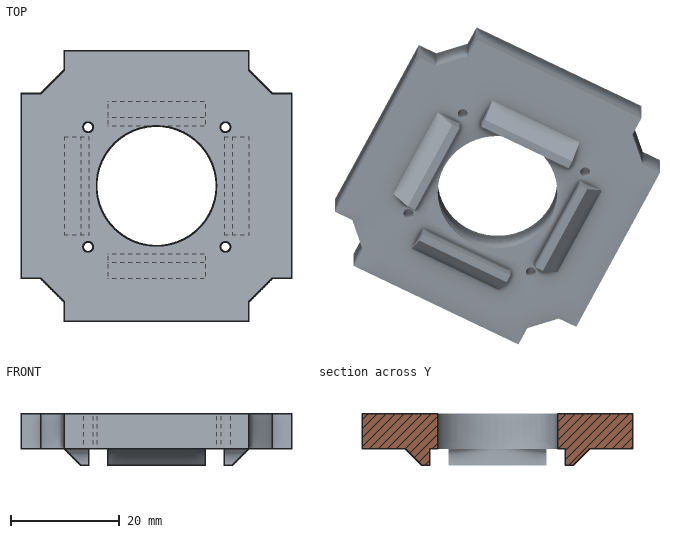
import cadquery as cq

plate_size = 49.8
plate_thickness = 6.5
edge_length = 34.0
notch_wall = 3.6

bore_diameter = 22.0
screw_hole_diameter = 1.8
screw_pitch_x = 25.25
screw_pitch_y = 22.0
screw_pattern_center = (0.05, -0.2)

clip_width = 18.0
clip_height = 3.0
clip_root = 4.5
clip_tip = clip_root - clip_height
clip_inner_x = 12.43
clip_inner_front = 12.5
clip_inner_back = 11.1


def make_plate():
    """Square plate with a notch with a slanted inner face at every corner."""
    half = plate_size / 2
    edge = edge_length / 2
    notch = half - notch_wall
    quarter = [(half, edge), (notch, edge), (edge, notch), (edge, half)]
    outline = []
    for _ in range(4):
        outline += quarter
        quarter = [(-y, x) for x, y in quarter]
    return cq.Workplane("XY").polyline(outline).close().extrude(plate_thickness)


def make_clip(inner_face, angle):
    """Wedge clip on the +X side, turned about Z to its place."""
    profile = [
        (inner_face, 0),
        (inner_face + clip_root, 0),
        (inner_face + clip_tip, -clip_height),
        (inner_face, -clip_height),
    ]
    clip = cq.Workplane("XZ").polyline(profile).close().extrude(clip_width / 2, both=True)
    return clip.rotate((0, 0, 0), (0, 0, 1), angle)


def cut_openings(body):
    """Central bore and four screw holes, all through the plate."""
    bore = cq.Workplane("XY").circle(bore_diameter / 2).extrude(plate_thickness)
    screw_holes = (
        cq.Workplane("XY")
        .center(*screw_pattern_center)
        .rarray(screw_pitch_x, screw_pitch_y, 2, 2)
        .circle(screw_hole_diameter / 2)
        .extrude(plate_thickness)
    )
    return body.cut(bore).cut(screw_holes)


result = cut_openings(make_plate())

clip_places = [
    (clip_inner_x, 0),
    (clip_inner_back, 90),
    (clip_inner_x, 180),
    (clip_inner_front, 270),
]
for inner_face, angle in clip_places:
    result = result.union(make_clip(inner_face, angle))